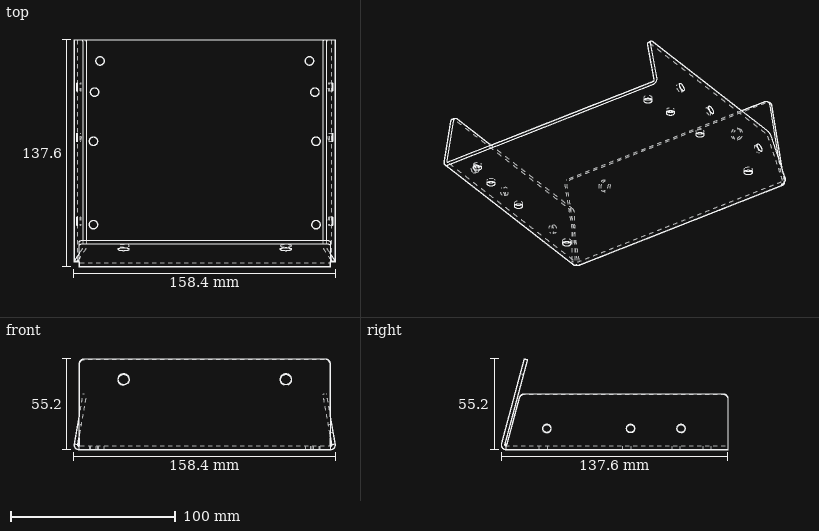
import cadquery as cq
import math

WIDTH = 158.45
DEPTH = 137.63
FRONT_HEIGHT = 55.2
SIDE_HEIGHT = 34.0

THICKNESS = 2.2
BEND_RADIUS = 3.0
INNER_RADIUS = BEND_RADIUS - THICKNESS
FRONT_LEAN = 15.0
SIDE_LEAN = 10.0
CORNER_RADIUS = 3.3
FRONT_GAP = 0.4

FLOOR_WIDTH = WIDTH - 2 * BEND_RADIUS
FLOOR_DEPTH = DEPTH - BEND_RADIUS

FLOOR_HOLE_DIAMETER = 5.0
FLOOR_HOLES = [(63.5, 12.8), (66.8, 31.7), (67.5, 61.5), (67.5, 112.1)]

SIDE_HOLE_DIAMETER = 5.0
SIDE_HOLE_HEIGHT = 13.1
SIDE_HOLE_SETBACKS = [28.6, 59.2, 110.0]

FRONT_HOLE_DIAMETER = 6.8
FRONT_HOLE_HEIGHT = 42.9
FRONT_HOLE_OFFSET = 49.2


def bend_top(lean):
    """Height at which the outer face of a bend runs into its straight flange."""
    return BEND_RADIUS * (1 + math.sin(math.radians(lean)))


def slant_length(height, lean):
    """Distance up the outer face from the end of the bend to a given height."""
    return (height - bend_top(lean)) / math.cos(math.radians(lean))


def bend_point(radius, lean, fraction):
    """(Y, Z) point a given fraction of the way round a bend at the given radius."""
    angle = math.radians(fraction * (90 + lean))
    return (-radius * math.sin(angle), BEND_RADIUS - radius * math.cos(angle))


def bend(length, lean):
    """Bend along X that starts at Y = 0 and curls up on the -Y side."""
    section = (
        cq.Workplane("YZ")
        .moveTo(0, 0)
        .lineTo(0, THICKNESS)
        .threePointArc(bend_point(INNER_RADIUS, lean, 0.5), bend_point(INNER_RADIUS, lean, 1))
        .lineTo(*bend_point(BEND_RADIUS, lean, 1))
        .threePointArc(bend_point(BEND_RADIUS, lean, 0.5), (0, 0))
        .close()
    )
    return section.extrude(length / 2, both=True)


def outer_face(lean):
    """Plane of a flange's outer face: X along the bend, Y up the slant from the end of the bend."""
    y, z = bend_point(BEND_RADIUS, lean, 1)
    tilt = math.radians(lean)
    return cq.Plane(origin=(0, y, z), xDir=(1, 0, 0), normal=(0, -math.cos(tilt), math.sin(tilt)))


def flange(bend_length, bottom, top, lean, height, corner_radius):
    """Bend and straight flange along X, folded up on the -Y side of Y = 0.

    bottom and top hold the X of the left and right ends of those edges of the flange.
    """
    plane = outer_face(lean)
    slant = slant_length(height, lean)
    outline = [(bottom[0], 0), (bottom[1], 0), (top[1], slant), (top[0], slant)]
    plate = cq.Workplane(plane).polyline(outline).close().extrude(-THICKNESS)
    for x in top:
        corner = plane.toWorldCoords((x, slant, -THICKNESS / 2)).toTuple()
        plate = plate.edges(cq.selectors.NearestToPointSelector(corner)).fillet(corner_radius)
    return bend(bend_length, lean).union(plate)


def flange_holes(centres, lean, diameter):
    """Cutters for holes square to a flange; centres holds (X, height) on the outer face."""
    points = [(x, slant_length(height, lean)) for x, height in centres]
    return cq.Workplane(outer_face(lean)).pushPoints(points).circle(diameter / 2).extrude(-THICKNESS)


def floor():
    """Flat floor with its mirrored rows of holes."""
    plate = cq.Workplane("XY").center(0, -FLOOR_DEPTH / 2).rect(FLOOR_WIDTH, FLOOR_DEPTH).extrude(THICKNESS)
    centres = [(side * x, -setback) for side in (-1, 1) for x, setback in FLOOR_HOLES]
    cutters = cq.Workplane("XY").pushPoints(centres).circle(FLOOR_HOLE_DIAMETER / 2).extrude(THICKNESS)
    return plate.cut(cutters)


def front_flange():
    """Tall flange across the front edge of the floor."""
    ends = (-FLOOR_WIDTH / 2, FLOOR_WIDTH / 2)
    folded = flange(FLOOR_WIDTH, ends, ends, FRONT_LEAN, FRONT_HEIGHT, CORNER_RADIUS)
    centres = [(side * FRONT_HOLE_OFFSET, FRONT_HOLE_HEIGHT) for side in (-1, 1)]
    folded = folded.cut(flange_holes(centres, FRONT_LEAN, FRONT_HOLE_DIAMETER))
    return folded.translate((0, -FLOOR_DEPTH, 0))


def left_flange():
    """Low side flange; its front end slopes back parallel to the front flange."""
    rear_end = -FLOOR_DEPTH / 2
    front_end = FLOOR_DEPTH / 2 - FRONT_GAP
    slope = (SIDE_HEIGHT - bend_top(SIDE_LEAN)) * math.tan(math.radians(FRONT_LEAN))
    folded = flange(
        FLOOR_DEPTH,
        (rear_end, front_end),
        (rear_end, front_end - slope),
        SIDE_LEAN,
        SIDE_HEIGHT,
        CORNER_RADIUS,
    )
    centres = [(rear_end + setback, SIDE_HOLE_HEIGHT) for setback in SIDE_HOLE_SETBACKS]
    folded = folded.cut(flange_holes(centres, SIDE_LEAN, SIDE_HOLE_DIAMETER))
    turned = folded.rotate((0, 0, 0), (0, 0, 1), -90)
    return turned.translate((-FLOOR_WIDTH / 2, rear_end, 0))


left = left_flange()
right = left.mirror("YZ")
result = floor().union(front_flange()).union(left).union(right)